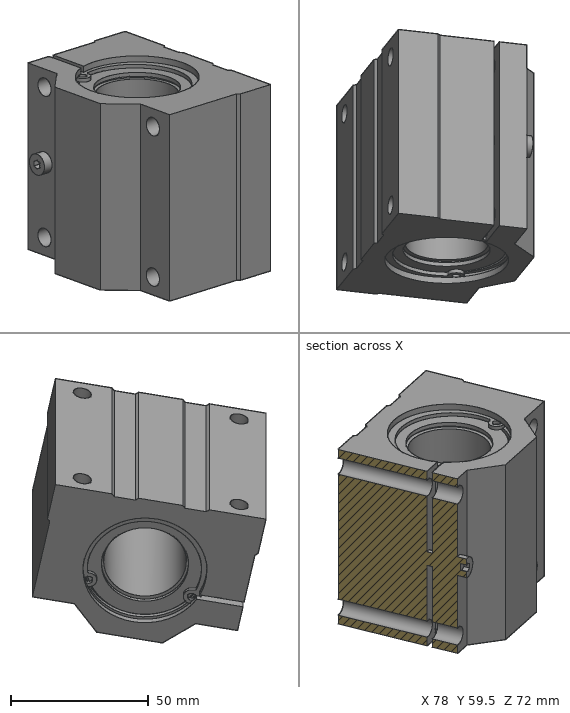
import cadquery as cq
import math


WIDTH = 78.0
HEIGHT = 72.0
REAR_Y = 30.0
FLANGE_Y = -19.0
NOSE_Y = -29.5
NOSE_BASE_WIDTH = 44.9
NOSE_TIP_WIDTH = 24.3
SHOULDER_Y = 15.0
RELIEF = 1.0

REAR_GROOVE_X = 13.1
REAR_GROOVE_WIDTH = 7.8

BORE_DIAMETER = 45.0
SLOT_REAR_Y = -6.55
SLOT_WIDTH = 2.0
SLOT_FRONT_Y = SLOT_REAR_Y - SLOT_WIDTH

HOLE_OFFSET = 29.0
CLEARANCE_DIAMETER = 7.0
TAPPING_DIAMETER = 6.6

SCREW_SHANK_DIAMETER = 6.0
SCREW_HEAD_DIAMETER = 8.0
SCREW_HEAD_HEIGHT = 3.75
SOCKET_ACROSS_FLATS = 3.0
SOCKET_DEPTH = 2.35

BEARING_LENGTH = 64.0
BEARING_END_DIAMETER = 43.0
BEARING_END_SLOPE = 60.0
BEARING_BORE = 30.0
LIP_DIAMETER = 31.6
LIP_LENGTH = 1.5
UNDERCUT_DIAMETER = 33.2
UNDERCUT_DEPTH = 2.3

RING_DIAMETER = 48.05
RING_THICKNESS = 1.4
RING_INSET = 2.35
RING_INSIDE_DIAMETER = 41.5
RING_INSIDE_SHIFT = 1.2
EAR_X = 19.0
EAR_Y = -9.35
EAR_RADIUS = 3.0
EAR_FILLET = 0.8
EAR_HOLE_DIAMETER = 3.0


def cylinder_z(diameter, bottom, top):
    """Solid cylinder on the bore axis."""
    return cq.Workplane("XY").workplane(offset=bottom).circle(diameter / 2).extrude(top - bottom)


def cylinder_y(diameter, x, z, front, rear):
    """Solid cylinder along Y between two Y positions."""
    plane = cq.Workplane("XZ", origin=(x, front, z))
    return plane.circle(diameter / 2).extrude(front - rear)


def make_block():
    """Housing block, extruded from its half outline."""
    half_width = WIDTH / 2
    outline = [
        (0, REAR_Y),
        (REAR_GROOVE_X - REAR_GROOVE_WIDTH / 2 - RELIEF, REAR_Y),
        (REAR_GROOVE_X - REAR_GROOVE_WIDTH / 2, REAR_Y - RELIEF),
        (REAR_GROOVE_X + REAR_GROOVE_WIDTH / 2, REAR_Y - RELIEF),
        (REAR_GROOVE_X + REAR_GROOVE_WIDTH / 2 + RELIEF, REAR_Y),
        (half_width, REAR_Y),
        (half_width, SHOULDER_Y),
        (half_width - RELIEF, SHOULDER_Y - RELIEF),
        (half_width - RELIEF, FLANGE_Y),
        (NOSE_BASE_WIDTH / 2, FLANGE_Y),
        (NOSE_TIP_WIDTH / 2, NOSE_Y),
        (0, NOSE_Y),
    ]
    plane = cq.Workplane("XY").workplane(offset=-HEIGHT / 2)
    return plane.polyline(outline).mirrorY().extrude(HEIGHT)


def cut_mounting_holes(block):
    """Four stepped holes along Y, one near each corner."""
    for x in (-HOLE_OFFSET, HOLE_OFFSET):
        for z in (-HOLE_OFFSET, HOLE_OFFSET):
            block = block.cut(cylinder_y(CLEARANCE_DIAMETER, x, z, FLANGE_Y, SLOT_FRONT_Y))
            block = block.cut(cylinder_y(TAPPING_DIAMETER, x, z, SLOT_FRONT_Y, REAR_Y))
    return block


def add_screw(block):
    """Shank across the slot and socket head on the left flange."""
    head_y = FLANGE_Y - SCREW_HEAD_HEIGHT
    shank = cylinder_y(SCREW_SHANK_DIAMETER, -HOLE_OFFSET, 0, SLOT_FRONT_Y, SLOT_REAR_Y)
    head = cylinder_y(SCREW_HEAD_DIAMETER, -HOLE_OFFSET, 0, head_y, FLANGE_Y)
    across_corners = SOCKET_ACROSS_FLATS / math.cos(math.radians(30))
    socket = (
        cq.Workplane("XZ", origin=(-HOLE_OFFSET, head_y, 0))
        .transformed(rotate=(0, 0, 90))
        .polygon(6, across_corners)
        .extrude(-SOCKET_DEPTH)
    )
    return block.union(shank).union(head.cut(socket))


def make_slot():
    """Clamping slot from the left side; it leaves a thin wall around the bearing."""
    slot = cq.Workplane("XY").box(WIDTH / 2, SLOT_WIDTH, HEIGHT, centered=(False, False, True))
    wall = cylinder_z(RING_DIAMETER, -BEARING_LENGTH / 2, BEARING_LENGTH / 2)
    return slot.translate((-WIDTH / 2, SLOT_FRONT_Y, 0)).cut(wall)


def make_housing():
    """Clamp housing with bearing seat, ring grooves, slot, mounting holes and screw."""
    housing = make_block().cut(cylinder_z(BORE_DIAMETER, -HEIGHT / 2, HEIGHT / 2))
    groove = cylinder_z(RING_DIAMETER, BEARING_LENGTH / 2, HEIGHT / 2 - RING_INSET)
    housing = housing.cut(groove).cut(groove.mirror("XY")).cut(make_slot())
    return add_screw(cut_mounting_holes(housing))


def make_bearing():
    """Bearing sleeve with chamfered ends and an undercut behind a thin lip at each end."""
    half_length = BEARING_LENGTH / 2
    chamfer_width = (BORE_DIAMETER - BEARING_END_DIAMETER) / 2
    chamfer_length = chamfer_width * math.tan(math.radians(BEARING_END_SLOPE))
    bearing = cylinder_z(BORE_DIAMETER, -half_length, half_length)
    bearing = bearing.faces("|Z").edges().chamfer(chamfer_length, chamfer_width)
    bearing = bearing.cut(cylinder_z(BEARING_BORE, -half_length, half_length))
    lip_inner = half_length - LIP_LENGTH
    undercut_floor = half_length - UNDERCUT_DEPTH
    lip = cylinder_z(LIP_DIAMETER, lip_inner, half_length)
    undercut = cylinder_z(UNDERCUT_DIAMETER, undercut_floor, lip_inner)
    for recess in (lip, undercut):
        bearing = bearing.cut(recess).cut(recess.mirror("XY"))
    return bearing


def ring_bottoms():
    """Lower faces of the lower and the upper retaining ring."""
    lower = -HEIGHT / 2 + RING_INSET
    return (lower, -lower - RING_THICKNESS)


def make_ring(bottom):
    """Open internal retaining ring with two eared ends; the gap faces the nose."""
    top = bottom + RING_THICKNESS
    disc = cylinder_z(RING_DIAMETER, bottom, top)
    inside = cylinder_z(RING_INSIDE_DIAMETER, bottom, top).translate((0, -RING_INSIDE_SHIFT, 0))
    plane = cq.Workplane("XY").workplane(offset=bottom)
    gap_y = -RING_DIAMETER
    gap_x = EAR_X * gap_y / EAR_Y
    gap = plane.polyline([(0, 0), (-gap_x, gap_y), (gap_x, gap_y)]).close().extrude(RING_THICKNESS)
    ear_places = [(-EAR_X, EAR_Y), (EAR_X, EAR_Y)]
    ears = plane.pushPoints(ear_places).circle(EAR_RADIUS).extrude(RING_THICKNESS)
    holes = plane.pushPoints(ear_places).circle(EAR_HOLE_DIAMETER / 2).extrude(RING_THICKNESS)
    ring = disc.cut(inside).cut(gap).union(ears.intersect(disc))
    neck_edges = cq.selectors.BoxSelector(
        (-RING_INSIDE_DIAMETER / 2, EAR_Y, bottom),
        (RING_INSIDE_DIAMETER / 2, EAR_Y + 2 * EAR_RADIUS, top),
    )
    return ring.edges("|Z").edges(neck_edges).fillet(EAR_FILLET).cut(holes)


housing = make_housing()
bearing = make_bearing()
rings = [make_ring(bottom) for bottom in ring_bottoms()]

result = cq.Compound.makeCompound([housing.val(), bearing.val(), *[ring.val() for ring in rings]])